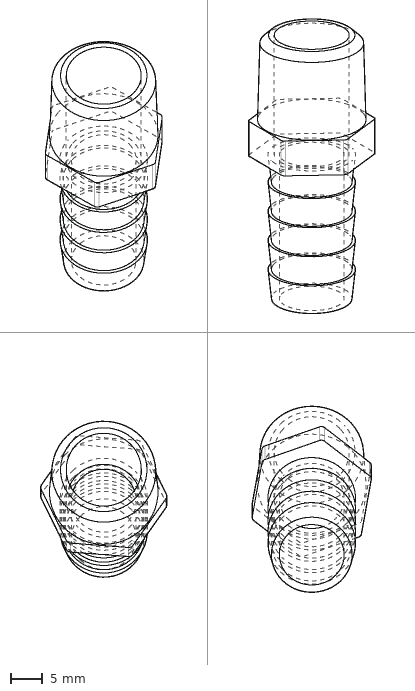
import cadquery as cq

total_height = 44.75
hex_bottom = 24.5
hex_top = 30.4

across_flats = 17.45
hex_corner_radius = 0.75

barb_count = 5
barb_pitch = 4.945
barb_small_radius = 6.35
barb_large_radius = 6.9

pipe_base_radius = 8.55
pipe_tip_radius = 8.2
tip_chamfer_height = 1.3
tip_face_radius = 6.8

bore_radius = 5.1
pipe_bore_radius = 5.9
pipe_bore_bottom = hex_bottom


def hose_tail_and_pipe():
    """Revolve the barbed tail and the tapered pipe end as one solid."""
    points = [(0, 0)]
    for index in range(barb_count):
        barb_bottom = index * barb_pitch
        barb_top = min(barb_bottom + barb_pitch, hex_bottom)
        points.append((barb_small_radius, barb_bottom))
        points.append((barb_large_radius, barb_top))
    points += [
        (pipe_base_radius, hex_bottom),
        (pipe_base_radius, hex_top),
        (pipe_tip_radius, total_height - tip_chamfer_height),
        (tip_face_radius, total_height),
        (0, total_height),
    ]
    profile = cq.Workplane("XZ").polyline(points).close()
    return profile.revolve(360, (0, 0, 0), (0, 1, 0))


def cylinder(radius, bottom, top):
    return cq.Workplane("XY").workplane(offset=bottom).circle(radius).extrude(top - bottom)


def hex_collar():
    """Hexagon with two corners on the Y axis and rounded vertical edges."""
    return (
        cq.Workplane("XY")
        .workplane(offset=hex_bottom)
        .polygon(6, across_flats, circumscribed=True)
        .extrude(hex_top - hex_bottom)
        .edges("|Z")
        .fillet(hex_corner_radius)
    )


body = hose_tail_and_pipe().union(hex_collar())
body = body.cut(cylinder(bore_radius, 0, total_height))
result = body.cut(cylinder(pipe_bore_radius, pipe_bore_bottom, total_height))